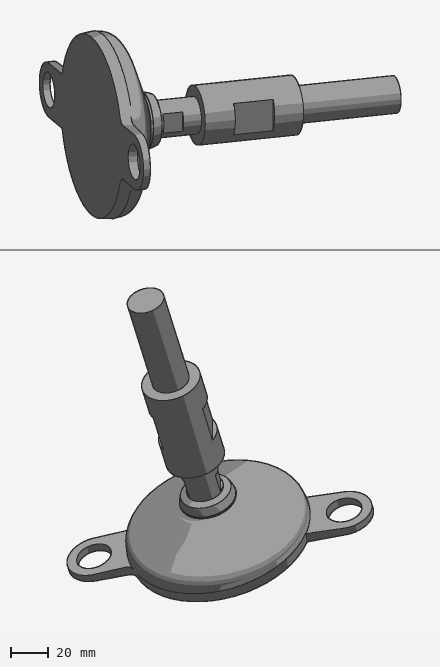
import cadquery as cq
import math


FOOT_RADIUS = 50.0
SOLE_RADIUS = 49.1
RIM_HEIGHT = 6.5
BAND_RADIUS = 49.5
BAND_HEIGHT = 9.2
SHOULDER_MID_RADIUS = 48.3
SHOULDER_MID_HEIGHT = 13.1
CONE_BASE_RADIUS = 44.9
CONE_BASE_HEIGHT = 15.6
CONE_TOP_RADIUS = 18.0
CONE_TOP_HEIGHT = 26.9
NECK_MID_RADIUS = 16.24
NECK_MID_HEIGHT = 27.45
NECK_RADIUS = 15.0
NECK_HEIGHT = 28.2
NECK_TOP = 29.4

EAR_TIP_X = 83.0
EAR_RADIUS = 15.0
EAR_HOLE_DIAMETER = 19.0
EAR_TIP_THICKNESS = 3.9
EAR_TOP_SLOPE = 3.0
EAR_ROOT_X = 40.8
EAR_FILLET = 5.0
EAR_HOLE_X = EAR_TIP_X - EAR_RADIUS

SPINDLE_END = 170.0
STEM_RADIUS = 20.0 / 2
COLLAR_BASE_RADIUS = 15.5
COLLAR_MID_RADIUS = 14.8
COLLAR_MID_HEIGHT = 32.3
COLLAR_TOP_RADIUS = 13.8
COLLAR_EDGE_HEIGHT = 34.7
COLLAR_TOP = 36.0
SLEEVE_RADIUS = 32.0 / 2
SLEEVE_START = 58.1
SLEEVE_END = 113.2

STEM_FLAT_DISTANCE = 8.5
STEM_FLAT_START = 37.0
STEM_FLAT_END = 48.1
SLEEVE_FLAT_DISTANCE = 13.5
SLEEVE_FLAT_START = 75.0
SLEEVE_FLAT_END = 97.0


def revolve_about_y(outline):
    """Close an outline drawn in the XY plane and turn it about the Y axis."""
    return outline.close().revolve(360, (0, 0, 0), (0, 1, 0))


def make_ear(side):
    """One ear with a rounded end and a sloping top; side is -1 or +1 along X."""
    root_thickness = EAR_TIP_THICKNESS + (EAR_TIP_X - EAR_ROOT_X) * math.tan(math.radians(EAR_TOP_SLOPE))
    wedge = (
        cq.Workplane("XY")
        .polyline([
            (side * EAR_ROOT_X, 0),
            (side * EAR_TIP_X, 0),
            (side * EAR_TIP_X, EAR_TIP_THICKNESS),
            (side * EAR_ROOT_X, root_thickness),
        ])
        .close()
        .extrude(EAR_RADIUS, both=True)
    )
    outline = (
        cq.Workplane("XZ")
        .moveTo(side * EAR_ROOT_X, -EAR_RADIUS)
        .lineTo(side * EAR_HOLE_X, -EAR_RADIUS)
        .threePointArc((side * EAR_TIP_X, 0), (side * EAR_HOLE_X, EAR_RADIUS))
        .lineTo(side * EAR_ROOT_X, EAR_RADIUS)
        .close()
        .extrude(-root_thickness)
    )
    hole = (
        cq.Workplane("XZ")
        .center(side * EAR_HOLE_X, 0)
        .circle(EAR_HOLE_DIAMETER / 2)
        .extrude(-root_thickness)
    )
    return wedge.intersect(outline).cut(hole)


def cut_flats(body, distance, start, end):
    """Cut two flats at x = -distance and x = +distance, from y = start to y = end."""
    for side in (-1, 1):
        cutter = cq.Workplane("XY").box(
            SLEEVE_RADIUS, end - start, 2 * SLEEVE_RADIUS
        ).translate((side * (distance + SLEEVE_RADIUS / 2), (start + end) / 2, 0))
        body = body.cut(cutter)
    return body


def make_foot():
    """Dome, collar and spindle in one piece, with an ear on each side of the rim."""
    foot = revolve_about_y(
        cq.Workplane("XY")
        .moveTo(0, 0)
        .lineTo(SOLE_RADIUS, 0)
        .lineTo(FOOT_RADIUS, RIM_HEIGHT)
        .lineTo(BAND_RADIUS, BAND_HEIGHT)
        .threePointArc((SHOULDER_MID_RADIUS, SHOULDER_MID_HEIGHT), (CONE_BASE_RADIUS, CONE_BASE_HEIGHT))
        .lineTo(CONE_TOP_RADIUS, CONE_TOP_HEIGHT)
        .threePointArc((NECK_MID_RADIUS, NECK_MID_HEIGHT), (NECK_RADIUS, NECK_HEIGHT))
        .lineTo(NECK_RADIUS, NECK_TOP)
        .lineTo(COLLAR_BASE_RADIUS, NECK_TOP)
        .threePointArc((COLLAR_MID_RADIUS, COLLAR_MID_HEIGHT), (COLLAR_TOP_RADIUS, COLLAR_EDGE_HEIGHT))
        .lineTo(STEM_RADIUS, COLLAR_TOP)
        .lineTo(STEM_RADIUS, SPINDLE_END)
        .lineTo(0, SPINDLE_END)
    )
    foot = cut_flats(foot, STEM_FLAT_DISTANCE, STEM_FLAT_START, STEM_FLAT_END)
    for side in (-1, 1):
        foot = foot.union(make_ear(side))

    corner_x = math.sqrt(SOLE_RADIUS**2 - EAR_RADIUS**2)
    corner_reach = 2.5
    for z in (-EAR_RADIUS, EAR_RADIUS):
        corner = cq.selectors.BoxSelector(
            (corner_x - corner_reach, EAR_TIP_THICKNESS / 2, z - corner_reach),
            (corner_x + corner_reach, EAR_TIP_THICKNESS, z + corner_reach),
        )
        foot = foot.edges(corner).fillet(EAR_FILLET)
    return foot


def make_sleeve():
    """Sleeve fitted on the spindle, with its own pair of flats."""
    sleeve = (
        cq.Workplane("XZ", origin=(0, SLEEVE_START, 0))
        .circle(SLEEVE_RADIUS)
        .circle(STEM_RADIUS)
        .extrude(SLEEVE_START - SLEEVE_END)
    )
    return cut_flats(sleeve, SLEEVE_FLAT_DISTANCE, SLEEVE_FLAT_START, SLEEVE_FLAT_END)


foot = make_foot()
sleeve = make_sleeve()

result = cq.Compound.makeCompound([foot.solids().val(), sleeve.solids().val()])